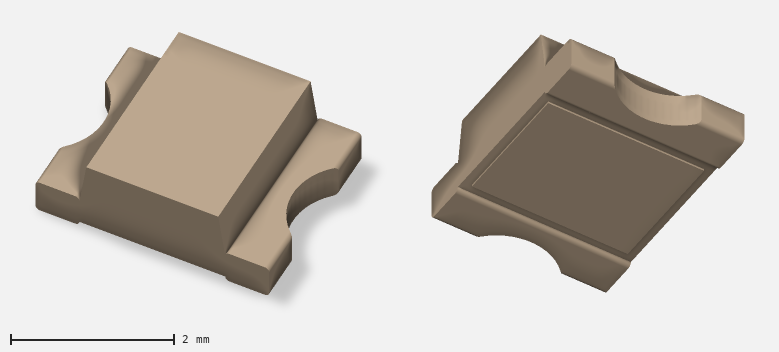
import cadquery as cq
import math

length = 3.2
width = 2.5
height = 1.1

terminal_height = 0.5
plating = 0.06
terminal_reach = 0.6
corner_radius = plating

notch_radius = 0.8
notch_half_width = 0.627

body_top_length = 1.805
body_base_length = length - 2 * terminal_reach

mask_margin = 0.125
mask_length = body_base_length - 2 * mask_margin
mask_width = width - 2 * mask_margin
mask_thickness = 0.03

board_top = terminal_height - plating


def slab(x_size, y_size, z_bottom, z_top):
    """Flat block centred in X and Y between two heights."""
    return cq.Workplane("XY").workplane(offset=z_bottom).rect(x_size, y_size).extrude(z_top - z_bottom)


def terminal(side):
    """Plated end block with rounded long edges; side is -1 or 1."""
    center_x = side * (length - terminal_reach) / 2
    block = slab(terminal_reach, width, 0, terminal_height)
    return block.edges("|Y").fillet(corner_radius).translate((center_x, 0, 0))


def body():
    """Trapezoid spanning the full width of the board."""
    half_base = body_base_length / 2
    half_top = body_top_length / 2
    outline = [(-half_base, board_top), (half_base, board_top), (half_top, height), (-half_top, height)]
    return cq.Workplane("XZ").polyline(outline).close().extrude(width / 2, both=True)


def notch(side):
    """Vertical cylinder whose axis lies outside the end face."""
    axis_offset = math.sqrt(notch_radius**2 - notch_half_width**2)
    axis_x = side * (length / 2 + axis_offset)
    return cq.Workplane("XY").center(axis_x, 0).circle(notch_radius).extrude(terminal_height)


board = slab(length - 2 * plating, width, plating, board_top)
mask = slab(mask_length, mask_width, plating - mask_thickness, plating)

result = board.union(mask).union(body())
for end in (-1, 1):
    result = result.union(terminal(end)).cut(notch(end))